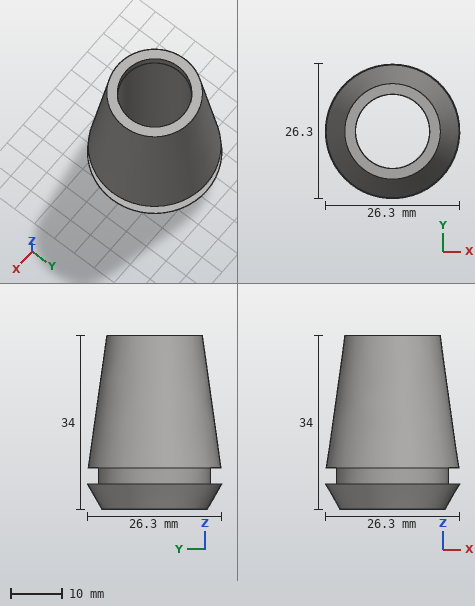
import cadquery as cq
import math

height = 34.0
flange_top = 4.95
groove_top = 8.1

flange_radius = 13.15
base_radius = 10.3
groove_radius = 10.98
top_radius = 9.35
taper_angle = 8.0

bore_radius = 7.25
mouth_radius = 7.28
mouth_depth = 2.0

body_radius = top_radius + (height - groove_top) * math.tan(math.radians(taper_angle))

section = (
    cq.Workplane("YZ")
    .moveTo(bore_radius, 0)
    .lineTo(base_radius, 0)
    .lineTo(flange_radius, flange_top)
    .lineTo(groove_radius, flange_top)
    .lineTo(groove_radius, groove_top)
    .lineTo(body_radius, groove_top)
    .lineTo(top_radius, height)
    .lineTo(mouth_radius, height)
    .lineTo(mouth_radius, height - mouth_depth)
    .lineTo(bore_radius, height - mouth_depth)
    .close()
)
result = section.revolve(360, (0, 0, 0), (0, 1, 0))